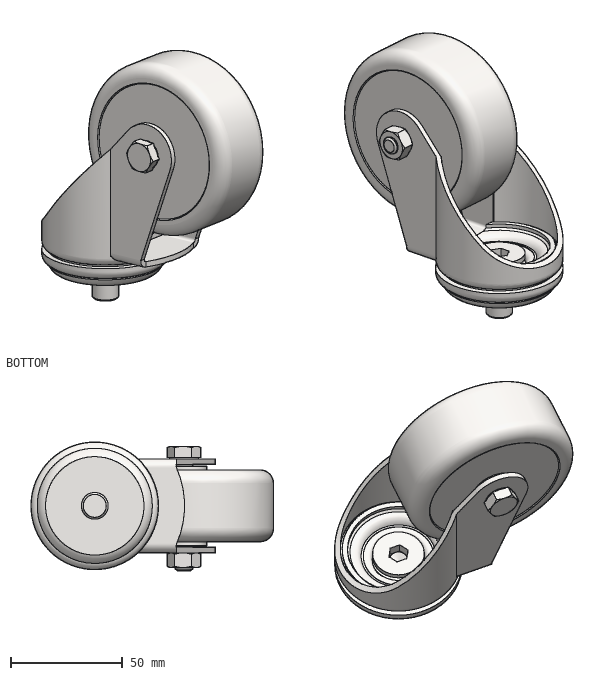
import cadquery as cq
import math


WHEEL_RADIUS = 40.0
WHEEL_HALF_WIDTH = 16.1
TREAD_ROUNDING = 6.0
WHEEL_RECESS_RADIUS = 63.0 / 2
WHEEL_RECESS_DEPTH = 0.5
WHEEL_RECESS_TAPER = 0.2
HUB_RADIUS = 20.4 / 2
HUB_CHAMFER = 0.2
HUB_HALF_WIDTH = 17.9
WHEEL_BORE = 8.1

AXLE_X = 39.9
OVERALL_HEIGHT = 120.9
AXLE_Z = OVERALL_HEIGHT - WHEEL_RADIUS

BOLT_DIAMETER = 8.0
HEX_ACROSS_FLATS = 13.0
HEX_ANGLE = 4.0
HEX_CHAMFER_ANGLE = 30.0
WASHER_FACE_HEIGHT = 0.5
HEAD_HEIGHT = 5.6
NUT_HEIGHT = 6.5
BOLT_END_PROTRUSION = 1.5
BOLT_END_CHAMFER_LENGTH = 0.7
BOLT_END_CHAMFER_DEPTH = 1.1

CUP_RADIUS = 57.0 / 2
SHEET = 2.5
LEG_OUTER_Y = 21.0
LEG_INNER_Y = LEG_OUTER_Y - SHEET
LEG_END_RADIUS = 14.0
LEG_HOLE = 8.5
FRONT_SLOPE = 47.7
FRONT_CURVE_START_X = -11.4
FRONT_LIP_Z = 32.8
LEG_REAR_X = 36.5
LEG_REAR_Z = 30.2
FLOOR_BOTTOM_Z = 26.2
FLOOR_TOP_Z = FLOOR_BOTTOM_Z + SHEET
BEND_OUTER_RADIUS = LEG_REAR_Z - FLOOR_BOTTOM_Z
BEND_INNER_RADIUS = BEND_OUTER_RADIUS - SHEET
TONGUE_END_X = 40.1
TONGUE_HALF_WIDTH = LEG_OUTER_Y - BEND_OUTER_RADIUS
RACE_CUT_X = 18.6

CUP_ARC_TOP_Z = 27.5
CUP_ARC_RADIUS = 3.7
NECK_RADIUS = 25.6
BASE_TOP_Z = 23.0
BASE_ARC_TOP_Z = 21.0
BASE_ARC_RADIUS = 3.6
BASE_STEP_RADIUS = 25.7
BASE_STEP_Z = 16.8
BASE_LOWER_BULGE = 0.6
BASE_BOTTOM_RADIUS = 22.0
BASE_BOTTOM_Z = 12.9

CUP_INNER_RADIUS = CUP_RADIUS - SHEET
LEDGE_Z = 33.7
LEDGE_GROOVE = 0.8
LEDGE_INNER_RADIUS = 22.7
LEDGE_FOOT_Z = 32.0
RACE_OUTER_RADIUS = 21.6
RACE_TOP_Z = 31.2
RACE_INNER_RADIUS = 16.7
RACE_FOOT_Z = 28.0
RACE_STEP_RADIUS = 15.7
INNER_RACE_RADIUS = 29.0 / 2
INNER_RACE_TOP_Z = 27.8
INNER_RACE_FOOT_RADIUS = 11.7
INNER_RACE_FOOT_Z = 24.9

STEM_RADIUS = 12.0 / 2
STEM_CHAMFER = 0.8
STEM_HEAD_RADIUS = 23.1 / 2
STEM_HEAD_TOP_Z = 30.1
STEM_HEAD_HEIGHT = 2.4
STEM_NECK_RADIUS = 13.0 / 2
SOCKET_ACROSS_FLATS = 8.0
SOCKET_DEPTH = 4.8
SOCKET_CONE_DEPTH = 2.3

ABOVE_ALL = OVERALL_HEIGHT


def along_axle(y):
    """Workplane across the axle at the given Y, with its normal toward +Y and +X to the right."""
    return cq.Workplane(cq.Plane((AXLE_X, y, AXLE_Z), xDir=(1, 0, 0), normal=(0, 1, 0)))


def axle_cylinder(diameter):
    return along_axle(-ABOVE_ALL / 2).circle(diameter / 2).extrude(ABOVE_ALL)


def across_corners(across_flats):
    """Corner-to-corner size of a regular hexagon."""
    return across_flats / math.cos(math.radians(30))


def block(x_range, y_half, z_range):
    """Box symmetric about the XZ plane."""
    return cq.Workplane("XY").box(
        x_range[1] - x_range[0], 2 * y_half, z_range[1] - z_range[0], centered=(False, True, False)
    ).translate((x_range[0], 0, z_range[0]))


def cup_and_base():
    """Round body from the base's underside up, with a plain top at ABOVE_ALL."""
    diagonal = math.sqrt(0.5)
    cup_arc_x = CUP_RADIUS - CUP_ARC_RADIUS
    base_arc_x = CUP_RADIUS - BASE_ARC_RADIUS
    return (
        cq.Workplane("XZ")
        .moveTo(0, BASE_BOTTOM_Z)
        .lineTo(BASE_BOTTOM_RADIUS, BASE_BOTTOM_Z)
        .sagittaArc((BASE_STEP_RADIUS, BASE_STEP_Z), -BASE_LOWER_BULGE)
        .lineTo(BASE_STEP_RADIUS, BASE_ARC_TOP_Z - BASE_ARC_RADIUS)
        .lineTo(base_arc_x, BASE_ARC_TOP_Z - BASE_ARC_RADIUS)
        .threePointArc(
            (base_arc_x + BASE_ARC_RADIUS * diagonal, BASE_ARC_TOP_Z - BASE_ARC_RADIUS * diagonal),
            (CUP_RADIUS, BASE_ARC_TOP_Z),
        )
        .lineTo(CUP_RADIUS, BASE_TOP_Z)
        .lineTo(NECK_RADIUS, BASE_TOP_Z)
        .lineTo(NECK_RADIUS, CUP_ARC_TOP_Z - CUP_ARC_RADIUS)
        .lineTo(cup_arc_x, CUP_ARC_TOP_Z - CUP_ARC_RADIUS)
        .threePointArc(
            (cup_arc_x + CUP_ARC_RADIUS * diagonal, CUP_ARC_TOP_Z - CUP_ARC_RADIUS * diagonal),
            (CUP_RADIUS, CUP_ARC_TOP_Z),
        )
        .lineTo(CUP_RADIUS, ABOVE_ALL)
        .lineTo(0, ABOVE_ALL)
        .close()
        .revolve()
    )


def leg_channel():
    """U-shaped channel: the two legs and the floor that joins them, with rounded bends."""
    outer = block((0, ABOVE_ALL), LEG_OUTER_Y, (FLOOR_BOTTOM_Z, ABOVE_ALL))
    return outer.edges("|X and <Z").fillet(BEND_OUTER_RADIUS)


def channel_cavity():
    """Space between the legs, above the floor and behind the race."""
    inner = block((RACE_CUT_X, ABOVE_ALL), LEG_INNER_Y, (FLOOR_TOP_Z, ABOVE_ALL))
    return inner.edges("|X and <Z").fillet(BEND_INNER_RADIUS)


def convex_race(outline, start, foot):
    """Add an arc that leaves the point `start` horizontally and falls toward the axis, to `foot`."""
    run = start[0] - foot[0]
    drop = start[1] - foot[1]
    radius = (run**2 + drop**2) / (2 * drop)
    half_turn = math.asin(run / radius) / 2
    middle = (start[0] - radius * math.sin(half_turn), start[1] - radius * (1 - math.cos(half_turn)))
    return outline.threePointArc(middle, foot)


def cup_cavity():
    """Round space inside the cup, with the ledge and both ball races; the stem's head is left out."""
    ledge_outer_radius = CUP_INNER_RADIUS - LEDGE_GROOVE
    head_bottom_z = STEM_HEAD_TOP_Z - STEM_HEAD_HEIGHT
    outline = (
        cq.Workplane("XZ")
        .moveTo(0, ABOVE_ALL)
        .lineTo(CUP_INNER_RADIUS, ABOVE_ALL)
        .lineTo(CUP_INNER_RADIUS, LEDGE_Z - LEDGE_GROOVE)
        .lineTo(ledge_outer_radius, LEDGE_Z - LEDGE_GROOVE)
        .lineTo(ledge_outer_radius, LEDGE_Z)
        .lineTo(LEDGE_INNER_RADIUS, LEDGE_Z)
        .lineTo(LEDGE_INNER_RADIUS, LEDGE_FOOT_Z)
        .lineTo(RACE_OUTER_RADIUS, RACE_TOP_Z)
    )
    outline = convex_race(outline, (RACE_OUTER_RADIUS, RACE_TOP_Z), (RACE_INNER_RADIUS, RACE_FOOT_Z))
    outline = (
        outline
        .lineTo(RACE_STEP_RADIUS, RACE_FOOT_Z)
        .lineTo(RACE_STEP_RADIUS, INNER_RACE_TOP_Z)
        .lineTo(INNER_RACE_RADIUS, INNER_RACE_TOP_Z)
    )
    inner_race_foot = (INNER_RACE_FOOT_RADIUS, INNER_RACE_FOOT_Z)
    outline = convex_race(outline, (INNER_RACE_RADIUS, INNER_RACE_TOP_Z), inner_race_foot)
    return (
        outline
        .lineTo(STEM_NECK_RADIUS, INNER_RACE_FOOT_Z)
        .lineTo(STEM_NECK_RADIUS, head_bottom_z)
        .lineTo(STEM_HEAD_RADIUS, head_bottom_z)
        .lineTo(STEM_HEAD_RADIUS, STEM_HEAD_TOP_Z)
        .lineTo(0, STEM_HEAD_TOP_Z)
        .close()
        .revolve()
    )


def side_outline():
    """Region kept by the side cut: sloping front edge, round leg ends and leaning rear edge."""
    slope = math.radians(FRONT_SLOPE)
    front_tangent = (
        AXLE_X - LEG_END_RADIUS * math.sin(slope),
        AXLE_Z + LEG_END_RADIUS * math.cos(slope),
    )
    curve_start = (
        FRONT_CURVE_START_X,
        front_tangent[1] - (front_tangent[0] - FRONT_CURVE_START_X) * math.tan(slope),
    )
    run = curve_start[0] + CUP_RADIUS
    rise = curve_start[1] - FRONT_LIP_Z
    half_turn = slope - math.atan2(rise, run)
    curve_radius = math.hypot(run, rise) / (2 * math.sin(half_turn))
    curve_middle = (
        curve_start[0] - curve_radius * (math.sin(slope) - math.sin(slope - half_turn)),
        curve_start[1] - curve_radius * (math.cos(slope - half_turn) - math.cos(slope)),
    )
    corner_distance = math.hypot(LEG_REAR_X - AXLE_X, LEG_REAR_Z - AXLE_Z)
    corner_direction = math.atan2(LEG_REAR_Z - AXLE_Z, LEG_REAR_X - AXLE_X)
    rear_angle = corner_direction + math.acos(LEG_END_RADIUS / corner_distance)
    rear_tangent = (
        AXLE_X + LEG_END_RADIUS * math.cos(rear_angle),
        AXLE_Z + LEG_END_RADIUS * math.sin(rear_angle),
    )
    return (
        cq.Workplane("XZ", origin=(0, ABOVE_ALL / 2, 0))
        .moveTo(*front_tangent)
        .threePointArc((AXLE_X, AXLE_Z + LEG_END_RADIUS), rear_tangent)
        .lineTo(LEG_REAR_X, LEG_REAR_Z)
        .lineTo(LEG_REAR_X, 0)
        .lineTo(-CUP_RADIUS, 0)
        .lineTo(-CUP_RADIUS, FRONT_LIP_Z)
        .threePointArc(curve_middle, curve_start)
        .close()
        .extrude(ABOVE_ALL)
    )


def tongue():
    """Rear end of the floor, past the legs, with a bowed rear edge."""
    return (
        cq.Workplane("XY", origin=(0, 0, FLOOR_BOTTOM_Z))
        .moveTo(RACE_CUT_X, -TONGUE_HALF_WIDTH)
        .lineTo(LEG_REAR_X, -TONGUE_HALF_WIDTH)
        .threePointArc((TONGUE_END_X, 0), (LEG_REAR_X, TONGUE_HALF_WIDTH))
        .lineTo(RACE_CUT_X, TONGUE_HALF_WIDTH)
        .close()
        .extrude(SHEET)
    )


def stem_shank():
    shank = cq.Workplane("XY").circle(STEM_RADIUS).extrude(BASE_TOP_Z)
    return shank.faces("<Z").chamfer(STEM_CHAMFER)


def stem_socket():
    """Hexagon socket with a conical bottom in the stem's head."""
    socket_bottom_z = STEM_HEAD_TOP_Z - SOCKET_DEPTH
    hexagon = (
        cq.Workplane("XY", origin=(0, 0, socket_bottom_z))
        .polygon(6, across_corners(SOCKET_ACROSS_FLATS))
        .extrude(SOCKET_DEPTH)
    )
    cone = cq.Solid.makeCone(
        0, SOCKET_ACROSS_FLATS / 2, SOCKET_CONE_DEPTH,
        pnt=cq.Vector(0, 0, socket_bottom_z - SOCKET_CONE_DEPTH),
    )
    return hexagon.union(cq.Workplane(cone))


def make_bracket():
    leg_start_x = math.sqrt(CUP_RADIUS**2 - LEG_OUTER_Y**2)
    cup = cup_and_base()
    cup = cup.cut(block((leg_start_x, ABOVE_ALL), ABOVE_ALL, (FLOOR_TOP_Z, 2 * ABOVE_ALL)))
    front_of_floor = block((-ABOVE_ALL, RACE_CUT_X), ABOVE_ALL, (0, 2 * ABOVE_ALL))
    bracket = cup.union(leg_channel())
    bracket = bracket.cut(cup_cavity().intersect(front_of_floor))
    bracket = bracket.cut(channel_cavity())
    bracket = bracket.intersect(side_outline())
    bracket = bracket.union(tongue())
    bracket = bracket.union(stem_shank())
    bracket = bracket.cut(stem_socket())
    return bracket.cut(axle_cylinder(LEG_HOLE))


def make_wheel():
    wheel = along_axle(-WHEEL_HALF_WIDTH).circle(WHEEL_RADIUS).extrude(2 * WHEEL_HALF_WIDTH)
    wheel = wheel.edges().fillet(TREAD_ROUNDING)
    for side in (-1, 1):
        recess = cq.Solid.makeCone(
            WHEEL_RECESS_RADIUS - WHEEL_RECESS_TAPER,
            WHEEL_RECESS_RADIUS + WHEEL_RECESS_TAPER,
            WHEEL_RECESS_DEPTH,
            pnt=cq.Vector(AXLE_X, side * (WHEEL_HALF_WIDTH - WHEEL_RECESS_DEPTH), AXLE_Z),
            dir=cq.Vector(0, side, 0),
        )
        wheel = wheel.cut(cq.Workplane(recess))
    hub = along_axle(-HUB_HALF_WIDTH).circle(HUB_RADIUS).extrude(2 * HUB_HALF_WIDTH)
    hub = hub.edges().chamfer(HUB_CHAMFER)
    return wheel.union(hub).cut(axle_cylinder(WHEEL_BORE))


def hexagon_block(y_start, height):
    """Hexagonal prism on the axle, from y_start toward +Y."""
    return (
        along_axle(y_start)
        .transformed(rotate=(0, 0, HEX_ANGLE))
        .polygon(6, across_corners(HEX_ACROSS_FLATS))
        .extrude(height)
    )


def chamfer_cone(y_face, inward):
    """Conical space that trims hexagon corners at the face y_face; inward is the way into the part."""
    height = HEX_ACROSS_FLATS
    spread = height / math.tan(math.radians(HEX_CHAMFER_ANGLE))
    cone = cq.Solid.makeCone(
        HEX_ACROSS_FLATS / 2,
        HEX_ACROSS_FLATS / 2 + spread,
        height,
        pnt=cq.Vector(AXLE_X, y_face, AXLE_Z),
        dir=cq.Vector(0, inward, 0),
    )
    return cq.Workplane(cone)


def make_nut():
    nut = hexagon_block(LEG_OUTER_Y, NUT_HEIGHT)
    nut = nut.intersect(chamfer_cone(LEG_OUTER_Y, 1))
    nut = nut.intersect(chamfer_cone(LEG_OUTER_Y + NUT_HEIGHT, -1))
    return nut.cut(axle_cylinder(BOLT_DIAMETER))


def make_bolt():
    head_y = -LEG_OUTER_Y - HEAD_HEIGHT
    end_y = LEG_OUTER_Y + NUT_HEIGHT + BOLT_END_PROTRUSION
    head = hexagon_block(head_y, HEAD_HEIGHT - WASHER_FACE_HEIGHT).intersect(chamfer_cone(head_y, 1))
    washer_face = along_axle(head_y).circle(HEX_ACROSS_FLATS / 2).extrude(HEAD_HEIGHT)
    shank = along_axle(head_y).circle(BOLT_DIAMETER / 2).extrude(end_y - head_y)
    shank = shank.faces(">Y").chamfer(BOLT_END_CHAMFER_LENGTH, BOLT_END_CHAMFER_DEPTH)
    return head.union(washer_face).union(shank)


bracket = make_bracket()
wheel = make_wheel()
bolt = make_bolt()
nut = make_nut()

result = cq.Compound.makeCompound([bracket.val(), wheel.val(), bolt.val(), nut.val()])